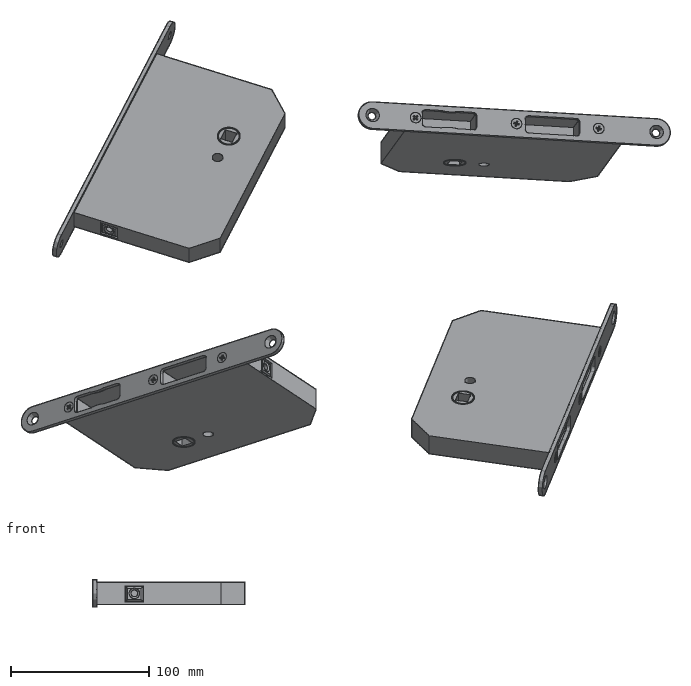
import cadquery as cq

PLATE_LENGTH = 230.0
PLATE_HEIGHT = 20.0
PLATE_THICKNESS = 3.0
END_HOLE_Y = 104.9
END_HOLE_FRONT_DIAMETER = 10.0
END_HOLE_BACK_DIAMETER = 5.5

OVERALL_DEPTH = 110.0
CASE_HEIGHT = 16.0
CASE_LENGTH = 160.0
CASE_CENTER_Y = -0.5
CASE_CORNER_CUT = 17.2

OPENING_LENGTH = 40.2
OPENING_HEIGHT = 13.0
OPENING_CORNER_RADIUS = 2.8
LATCH_OPENING_Y = 48.0
DEADBOLT_OPENING_Y = -28.0
WAIST_LENGTH = 12.5
WAIST_DEPTH = 0.7
POCKET_DEPTH = 20.0
LATCH_POCKET_INSET = 0.7

SCREWS = [(73.1, 45.0), (-1.4, 15.0), (-62.0, 15.0)]
SCREW_HEAD_DIAMETER = 7.8
SCREW_SHANK_DIAMETER = 4.0
SCREW_LENGTH = 10.0
CROSS_SPAN = 4.0
CROSS_WIDTH = 1.0
CROSS_DEPTH = 1.0

FOLLOWER_X = 80.0
FOLLOWER_Y = 27.5
FOLLOWER_DIAMETER = 16.5
FOLLOWER_FACE_DIAMETER = 15.0
FOLLOWER_RIM_STEP = 0.2
SPINDLE_SQUARE = 9.0

SIDE_HOLE_Y = 6.0
SIDE_HOLE_DIAMETER = 7.5

BLOCK_X = 30.1
BLOCK_Z = -0.5
BLOCK_HOLE_Z = 0.0
BLOCK_WIDTH = 12.2
BLOCK_HEIGHT = 10.5
BLOCK_LENGTH = 9.2
BLOCK_CHAMFER = 1.2
BLOCK_CLEARANCE = 0.58
BLOCK_HOLE_DIAMETER = 4.8
BLOCK_SINK_DIAMETER = 7.5
BLOCK_SINK_DEPTH = 1.0
BLOCK_HOLE_DEPTH = 4.5

CASE_SIDE_Y = CASE_CENTER_Y - CASE_LENGTH / 2
CASE_DEPTH = OVERALL_DEPTH - PLATE_THICKNESS


def box_from_x(x_start, depth, y_center, length, height):
    """A box centred on Z = 0 that runs from x_start in +X."""
    return cq.Workplane("XY").box(depth, length, height, centered=(False, True, True)).translate(
        (x_start, y_center, 0)
    )


def countersunk_shape(outer_radius, inner_radius, sink_depth, total_depth):
    """A cone that tapers in +X into a cylinder, on the X axis: a countersunk hole or screw."""
    profile = (
        cq.Workplane("XY")
        .lineTo(0, outer_radius)
        .lineTo(sink_depth, inner_radius)
        .lineTo(total_depth, inner_radius)
        .lineTo(total_depth, 0)
        .close()
    )
    return profile.revolve(360, (0, 0, 0), (1, 0, 0))


def screw_envelope(y):
    """The space one screw fills in the faceplate and the case."""
    return countersunk_shape(
        SCREW_HEAD_DIAMETER / 2, SCREW_SHANK_DIAMETER / 2, PLATE_THICKNESS, SCREW_LENGTH
    ).translate((0, y, 0))


def make_screw(y, slot_turn):
    bar = cq.Workplane("XY").box(2 * CROSS_DEPTH, CROSS_SPAN, CROSS_WIDTH)
    screw = screw_envelope(y)
    for turn in (slot_turn, slot_turn + 90):
        screw = screw.cut(bar.rotate((0, 0, 0), (1, 0, 0), turn).translate((0, y, 0)))
    return screw


def opening(y):
    """A rounded rectangular opening through the faceplate."""
    block = box_from_x(0, PLATE_THICKNESS, y, OPENING_LENGTH, OPENING_HEIGHT)
    return block.edges("|X").fillet(OPENING_CORNER_RADIUS)


def waist(y, side):
    """The shallow arc that narrows the latch opening on its top (side = 1) or bottom (side = -1)."""
    edge = side * OPENING_HEIGHT / 2
    return (
        cq.Workplane("YZ")
        .moveTo(y - WAIST_LENGTH / 2, edge)
        .threePointArc((y, edge - side * WAIST_DEPTH), (y + WAIST_LENGTH / 2, edge))
        .close()
        .extrude(PLATE_THICKNESS)
    )


def conical_end_hole(y):
    """A fixing hole that tapers through the whole faceplate thickness."""
    cone = cq.Solid.makeCone(
        END_HOLE_FRONT_DIAMETER / 2,
        END_HOLE_BACK_DIAMETER / 2,
        PLATE_THICKNESS,
        pnt=cq.Vector(0, y, 0),
        dir=cq.Vector(1, 0, 0),
    )
    return cq.Workplane(cone)


def make_faceplate():
    plate = cq.Workplane("YZ").slot2D(PLATE_LENGTH, PLATE_HEIGHT).extrude(PLATE_THICKNESS)
    latch_opening = opening(LATCH_OPENING_Y)
    for side in (1, -1):
        latch_opening = latch_opening.cut(waist(LATCH_OPENING_Y, side))
    plate = plate.cut(latch_opening).cut(opening(DEADBOLT_OPENING_Y))
    for y in (END_HOLE_Y, -END_HOLE_Y):
        plate = plate.cut(conical_end_hole(y))
    for y, _ in SCREWS:
        plate = plate.cut(screw_envelope(y))
    return plate


def case_cylinder(x, y, diameter, height):
    """An upright cylinder centred on Z = 0."""
    return cq.Workplane("XY").center(x, y).circle(diameter / 2).extrude(height / 2, both=True)


def block_recess():
    """The recess for the connector block, wider than the block by the clearance all round."""
    return (
        cq.Workplane("XY")
        .box(
            BLOCK_WIDTH + 2 * BLOCK_CLEARANCE,
            BLOCK_LENGTH,
            BLOCK_HEIGHT + 2 * BLOCK_CLEARANCE,
            centered=(True, False, True),
        )
        .translate((BLOCK_X, CASE_SIDE_Y, BLOCK_Z))
    )


def make_case():
    case = box_from_x(PLATE_THICKNESS, CASE_DEPTH, CASE_CENTER_Y, CASE_LENGTH, CASE_HEIGHT)
    case = case.edges("|Z and >X").chamfer(CASE_CORNER_CUT)
    latch_pocket = box_from_x(
        PLATE_THICKNESS,
        POCKET_DEPTH,
        LATCH_OPENING_Y - LATCH_POCKET_INSET / 2,
        OPENING_LENGTH - LATCH_POCKET_INSET,
        OPENING_HEIGHT,
    )
    deadbolt_pocket = box_from_x(
        PLATE_THICKNESS, POCKET_DEPTH, DEADBOLT_OPENING_Y, OPENING_LENGTH, OPENING_HEIGHT
    )
    case = case.cut(latch_pocket).cut(deadbolt_pocket)
    case = case.cut(case_cylinder(FOLLOWER_X, FOLLOWER_Y, FOLLOWER_DIAMETER, CASE_HEIGHT))
    case = case.cut(case_cylinder(FOLLOWER_X, SIDE_HOLE_Y, SIDE_HOLE_DIAMETER, CASE_HEIGHT))
    case = case.cut(block_recess())
    for y, _ in SCREWS:
        case = case.cut(screw_envelope(y))
    return case


def make_follower():
    """A hub whose rim sits a small step below the case surface at both ends."""
    rim_height = CASE_HEIGHT - 2 * FOLLOWER_RIM_STEP
    core = case_cylinder(FOLLOWER_X, FOLLOWER_Y, FOLLOWER_FACE_DIAMETER, CASE_HEIGHT)
    hub = core.union(case_cylinder(FOLLOWER_X, FOLLOWER_Y, FOLLOWER_DIAMETER, rim_height))
    spindle_hole = (
        cq.Workplane("XY")
        .box(SPINDLE_SQUARE, SPINDLE_SQUARE, CASE_HEIGHT)
        .translate((FOLLOWER_X, FOLLOWER_Y, 0))
    )
    return hub.cut(spindle_hole)


def make_connector_block():
    """A block flush with the case side, with bevelled outer edges and a blind countersunk hole."""
    block = (
        cq.Workplane("XY")
        .box(BLOCK_WIDTH, BLOCK_LENGTH, BLOCK_HEIGHT, centered=(True, False, True))
        .faces("<Y")
        .chamfer(BLOCK_CHAMFER)
        .translate((BLOCK_X, CASE_SIDE_Y, BLOCK_Z))
    )
    hole = countersunk_shape(
        BLOCK_SINK_DIAMETER / 2, BLOCK_HOLE_DIAMETER / 2, BLOCK_SINK_DEPTH, BLOCK_HOLE_DEPTH
    )
    hole = hole.rotate((0, 0, 0), (0, 0, 1), 90).translate((BLOCK_X, CASE_SIDE_Y, BLOCK_HOLE_Z))
    return block.cut(hole)


case = make_case()
faceplate = make_faceplate()
follower = make_follower()
connector_block = make_connector_block()
screws = [make_screw(y, slot_turn) for y, slot_turn in SCREWS]

result = cq.Compound.makeCompound(
    [case.val(), faceplate.val(), follower.val(), connector_block.val()]
    + [screw.val() for screw in screws]
)